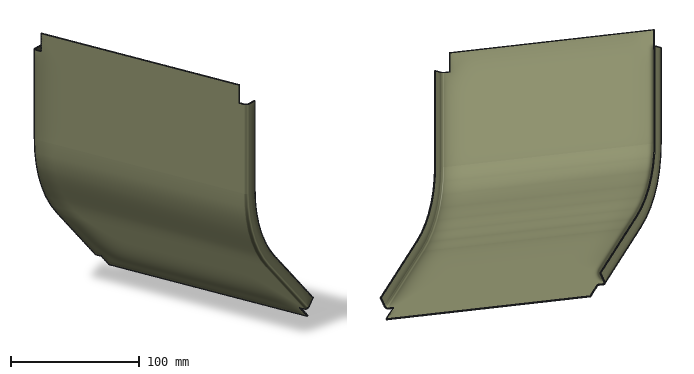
import cadquery as cq
import math

height = 225.0
width = 202.0
thickness = 1.0
leg_length = 90.0
bend_angle = math.radians(45)
flange_depth = 11.0
corner_radius = 3.0
tab_length = 15.0
tab_inset = 7.7

leg_drop = leg_length * math.cos(bend_angle)
bend_radius = (height - leg_length - leg_drop) / math.sin(bend_angle)


def point_on_bend(angle):
    """Point (y, z) of the outer face after turning through the angle."""
    y = bend_radius * (1 - math.cos(angle))
    z = height - leg_length - bend_radius * math.sin(angle)
    return y, z


def outer_face_path(end_trim):
    """Line, arc and line along the outer face, shortened at both ends."""
    bend_end_y, bend_end_z = point_on_bend(bend_angle)
    lower_length = leg_length - end_trim
    lower_end = (
        bend_end_y + lower_length * math.sin(bend_angle),
        bend_end_z - lower_length * math.cos(bend_angle),
    )
    return (
        cq.Workplane("YZ")
        .moveTo(0, height - end_trim)
        .lineTo(*point_on_bend(0))
        .threePointArc(point_on_bend(bend_angle / 2), (bend_end_y, bend_end_z))
        .lineTo(*lower_end)
    )


def make_strip():
    """Full-length strip, as wide as the tabs at its ends."""
    return (
        cq.Workplane("XY", origin=(0, thickness / 2, height))
        .rect(width - 2 * tab_inset, thickness)
        .sweep(outer_face_path(0))
    )


def make_channel():
    """Panel with rounded corners and side flanges, stopping short of the tabs."""
    half = width / 2
    inner_half = half - thickness
    inner_radius = corner_radius - thickness
    diagonal = math.sqrt(0.5)
    center_x = half - corner_radius
    outer_mid = (center_x + corner_radius * diagonal, corner_radius * (1 - diagonal))
    inner_mid = (center_x + inner_radius * diagonal, corner_radius - inner_radius * diagonal)
    return (
        cq.Workplane("XY", origin=(0, 0, height - tab_length))
        .moveTo(-center_x, 0)
        .lineTo(center_x, 0)
        .threePointArc(outer_mid, (half, corner_radius))
        .lineTo(half, flange_depth)
        .lineTo(inner_half, flange_depth)
        .lineTo(inner_half, corner_radius)
        .threePointArc(inner_mid, (center_x, thickness))
        .lineTo(-center_x, thickness)
        .threePointArc((-inner_mid[0], inner_mid[1]), (-inner_half, corner_radius))
        .lineTo(-inner_half, flange_depth)
        .lineTo(-half, flange_depth)
        .lineTo(-half, corner_radius)
        .threePointArc((-outer_mid[0], outer_mid[1]), (-center_x, 0))
        .close()
        .sweep(outer_face_path(tab_length))
    )


result = make_channel().union(make_strip())